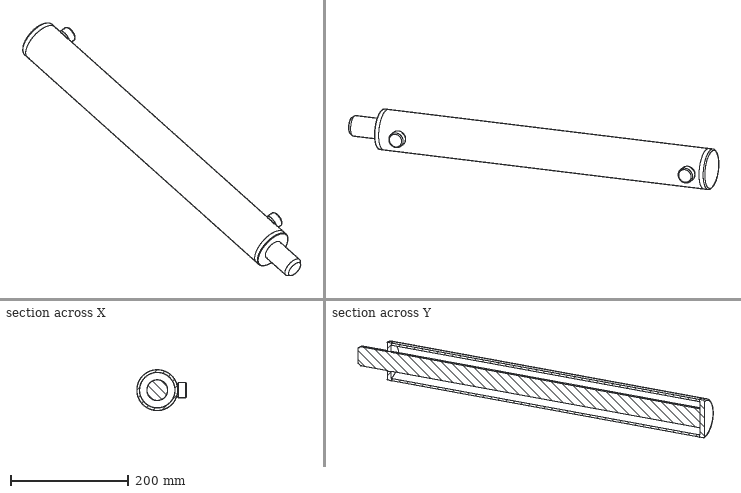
import cadquery as cq

total_length = 660.0
barrel_end = 604.5
outer_diameter = 70.0
bore_diameter = 60.0

cap_length = 10.0
gland_length = 8.0
cap_chamfer = 2.3
gland_chamfer = 1.0
tube_length = barrel_end - cap_length - gland_length

rod_diameter = 35.5
rod_chamfer_length = 5.0
rod_chamfer_depth = 4.0

port_diameter = 26.5
port_top = 50.0
port_length = 17.0
port_top_chamfer = 2.0
port_base_chamfer = 3.0
port_positions = (30.0, 560.0)


def rod_blank(diameter, start, length):
    """Solid round bar along X."""
    return cq.Workplane("YZ").workplane(offset=start).circle(diameter / 2).extrude(length)


def make_tube():
    """Barrel tube between the end cap and the gland."""
    tube = rod_blank(outer_diameter, cap_length, tube_length)
    return tube.cut(rod_blank(bore_diameter, cap_length, tube_length))


def make_end_cap():
    """Closed disc with a chamfered outer rim."""
    return rod_blank(outer_diameter, 0, cap_length).faces("<X").chamfer(cap_chamfer)


def make_gland():
    """Chamfered disc that guides the rod through a central hole."""
    gland_start = barrel_end - gland_length
    gland = rod_blank(outer_diameter, gland_start, gland_length).faces(">X").chamfer(gland_chamfer)
    return gland.cut(rod_blank(rod_diameter, gland_start, gland_length))


def make_rod():
    """Rod from the end cap out through the gland, with a tapered tip."""
    radius = rod_diameter / 2
    return (
        cq.Workplane("XY")
        .moveTo(cap_length, 0)
        .lineTo(cap_length, radius)
        .lineTo(total_length - rod_chamfer_length, radius)
        .lineTo(total_length, radius - rod_chamfer_depth)
        .lineTo(total_length, 0)
        .close()
        .revolve(360, (0, 0, 0), (1, 0, 0))
    )


def make_port(x_position):
    """Round boss chamfered at both ends and saddled onto the tube."""
    boss = (
        cq.Workplane("XZ", origin=(x_position, port_top, 0))
        .circle(port_diameter / 2)
        .extrude(port_length)
        .faces(">Y")
        .chamfer(port_top_chamfer)
        .faces("<Y")
        .chamfer(port_base_chamfer)
    )
    return boss.cut(rod_blank(outer_diameter, cap_length, tube_length))


tube = make_tube()
end_cap = make_end_cap()
gland = make_gland()
rod = make_rod()
ports = [make_port(x_position) for x_position in port_positions]

result = cq.Compound.makeCompound(
    [tube.val(), end_cap.val(), gland.val(), rod.val(), *[port.val() for port in ports]]
)